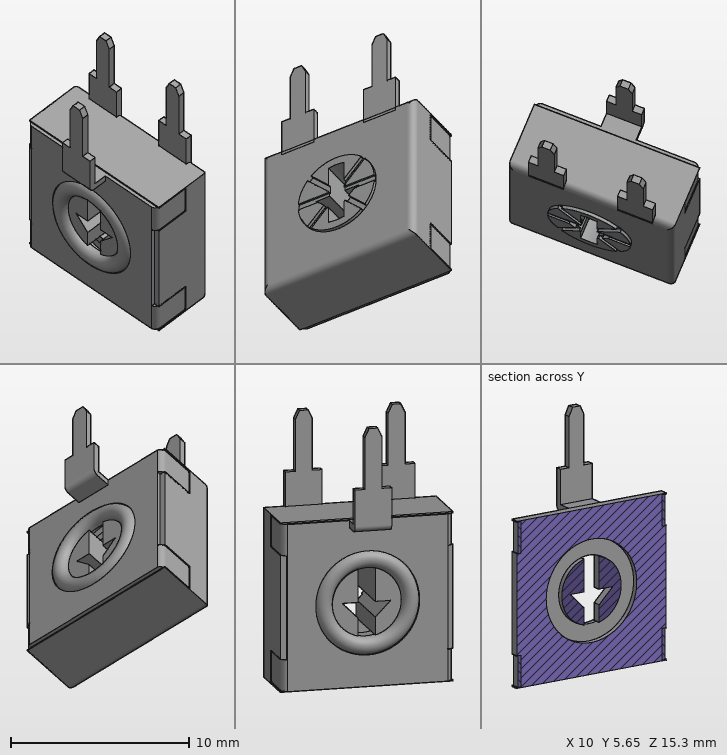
import cadquery as cq
import math


width = 10.0
depth = 4.0
height = 9.8
back_edge_radius = 0.4

sheet = 0.21
cover_gap = 0.08
clip_inset = 0.06
clip_height = 1.82
clip_reach = 2.2
clip_bend_radius = 0.4
clip_bend_end_y = 0.17
cover_half_height = height / 2 - cover_gap
clip_outer_x = width / 2 - clip_inset
bend_centre_x = clip_outer_x - clip_bend_radius
plate_half_width = bend_centre_x + math.sqrt(clip_bend_radius**2 - (clip_bend_end_y + sheet) ** 2)

terminal_tip_z = 15.3 - height / 2
terminal_pitch = 2.7
terminal_thickness = 0.41
shoulder_width = 2.13
shoulder_top_z = height / 2 + 1.99
pin_width = 1.0
tip_width = 0.5
tip_height = 0.5
terminal_root = 0.4
terminal_back_wall = 0.05
centre_terminal_front = 1.45
foot_bend_radius = 0.32

rim_crest_radius = 2.51
rim_round = 0.5
rim_outer_radius = rim_crest_radius + rim_round
rim_inner_radius = rim_crest_radius - rim_round
flange_thickness = 0.2
hub_radius = rim_inner_radius
hub_end_y = 1.0
disc_radius = 2.51
disc_rise = 0.2
cross_slot_width = 0.34
groove_width = 0.41
groove_depth = 0.1
arrow_shaft_width = 1.0
arrow_head_width = 2.78
arrow_head_height = 0.9


def box(x_range, y_range, z_range):
    """Axis-aligned box between pairs of limits."""
    low, high = zip(x_range, y_range, z_range)
    size = [b - a for a, b in zip(low, high)]
    return cq.Workplane("XY").box(*size, centered=False).translate(low)


def cylinder(radius, y_start, y_end):
    """Cylinder about the rotor axis."""
    return cq.Workplane("XZ", origin=(0, y_start, 0)).circle(radius).extrude(y_start - y_end)


def symmetric_prism(half_outline, length):
    """Prism toward +Y whose XZ outline is the given right half and its mirror image."""
    mirrored = [(-x, z) for x, z in reversed(half_outline)]
    return cq.Workplane("XZ").polyline(half_outline + mirrored).close().extrude(-length)


def terminal_blade(root_z):
    """Flat stepped terminal with a tapered tip."""
    half_outline = [
        (shoulder_width / 2, root_z),
        (shoulder_width / 2, shoulder_top_z),
        (pin_width / 2, shoulder_top_z),
        (pin_width / 2, terminal_tip_z - tip_height),
        (tip_width / 2, terminal_tip_z),
    ]
    return symmetric_prism(half_outline, terminal_thickness)


def make_side_terminal(side):
    """Terminal standing in a pocket of the housing near its back face."""
    front_y = depth - terminal_back_wall - terminal_thickness
    return terminal_blade(height / 2 - terminal_root).translate((side * terminal_pitch, front_y, 0))


def make_clip(x_side, z_side):
    """Clip bent from a side edge of the plate back along the side of the housing."""
    bend_angle = math.pi / 2 - math.acos((plate_half_width - bend_centre_x) / clip_bend_radius)
    middle_angle = (math.pi / 2 - bend_angle) / 2
    bend_middle = (
        bend_centre_x + clip_bend_radius * math.cos(middle_angle),
        clip_bend_end_y - clip_bend_radius * math.sin(middle_angle),
    )
    clip = (
        cq.Workplane("XY")
        .moveTo(plate_half_width, 0)
        .lineTo(plate_half_width, -sheet)
        .threePointArc(bend_middle, (clip_outer_x, clip_bend_end_y))
        .lineTo(clip_outer_x, clip_reach)
        .lineTo(clip_outer_x - sheet, clip_reach)
        .lineTo(clip_outer_x - sheet, 0)
        .close()
        .extrude(clip_height)
        .translate((0, 0, cover_half_height - clip_height))
    )
    if x_side < 0:
        clip = clip.mirror("YZ")
    if z_side < 0:
        clip = clip.mirror("XY")
    return clip


def make_centre_terminal():
    """Terminal on a foot that is bent forward from the top edge of the cover."""
    half_width = shoulder_width / 2
    foot_bottom_z = cover_half_height - terminal_thickness
    foot = box((-half_width, half_width), (-centre_terminal_front, 0), (foot_bottom_z, cover_half_height))
    blade = terminal_blade(foot_bottom_z).translate((0, -centre_terminal_front, 0))
    return foot.union(blade).edges("|X and <Y and <Z").fillet(foot_bend_radius)


def make_cover():
    """Front plate with a rotor hole, four clips and the centre terminal."""
    cover = box((-plate_half_width, plate_half_width), (-sheet, 0), (-cover_half_height, cover_half_height))
    for x_side in (-1, 1):
        for z_side in (-1, 1):
            cover = cover.union(make_clip(x_side, z_side))
    return cover.union(make_centre_terminal()).cut(cylinder(rim_outer_radius, -sheet, 0))


def make_arrow():
    """Prism of the through arrow, pointing to -Z."""
    shaft_half = arrow_shaft_width / 2
    half_outline = [
        (shaft_half, rim_inner_radius),
        (shaft_half, 0),
        (arrow_head_width / 2, 0),
        (shaft_half, -arrow_head_height),
        (shaft_half, -rim_inner_radius),
    ]
    return symmetric_prism(half_outline, 2 * depth).intersect(cylinder(rim_inner_radius, 0, 2 * depth))


def make_rotor():
    """Turned body with a through arrow, and a cross slot and groove in its back face."""
    back_y = depth + disc_rise
    diagonal = rim_round * math.sqrt(0.5)
    rotor = (
        cq.Workplane("XY")
        .lineTo(rim_inner_radius, 0)
        .threePointArc((rim_crest_radius - diagonal, -diagonal), (rim_crest_radius, -rim_round))
        .threePointArc((rim_crest_radius + diagonal, -diagonal), (rim_outer_radius, 0))
        .lineTo(rim_outer_radius, flange_thickness)
        .lineTo(hub_radius, flange_thickness)
        .lineTo(hub_radius, hub_end_y)
        .lineTo(disc_radius, hub_end_y)
        .lineTo(disc_radius, back_y)
        .lineTo(0, back_y)
        .close()
        .revolve(360, (0, 0, 0), (0, 1, 0))
    )
    slot_half = cross_slot_width / 2
    slot = box((-2 * disc_radius, 2 * disc_radius), (depth, back_y), (-slot_half, slot_half))
    for angle in (45, -45):
        rotor = rotor.cut(slot.rotate((0, 0, 0), (0, 1, 0), angle))
    groove_half = groove_width / 2
    groove = box((-disc_radius, disc_radius), (back_y - groove_depth, back_y), (-groove_half, groove_half))
    return rotor.cut(groove).cut(make_arrow())


def make_housing():
    """Block with a round back edge, a stepped rotor bore, clip recesses and terminal pockets."""
    housing = box((-width / 2, width / 2), (0, depth), (-height / 2, height / 2))
    housing = housing.faces(">Y").edges().fillet(back_edge_radius)
    housing = housing.cut(cylinder(rim_outer_radius, 0, hub_end_y)).cut(cylinder(disc_radius, 0, depth))
    recess_floor_x = clip_outer_x - sheet
    for x_side in (-1, 1):
        for z_side in (-1, 1):
            x_range = sorted((x_side * recess_floor_x, x_side * width / 2))
            z_range = sorted((z_side * (cover_half_height - clip_height), z_side * cover_half_height))
            housing = housing.cut(box(x_range, (0, clip_reach), z_range))
    for terminal in side_terminals:
        housing = housing.cut(terminal)
    return housing


side_terminals = [make_side_terminal(side) for side in (-1, 1)]
housing = make_housing()
cover = make_cover()
rotor = make_rotor()

result = cq.Compound.makeCompound(
    [housing.val(), cover.val(), rotor.val(), *[terminal.val() for terminal in side_terminals]]
)